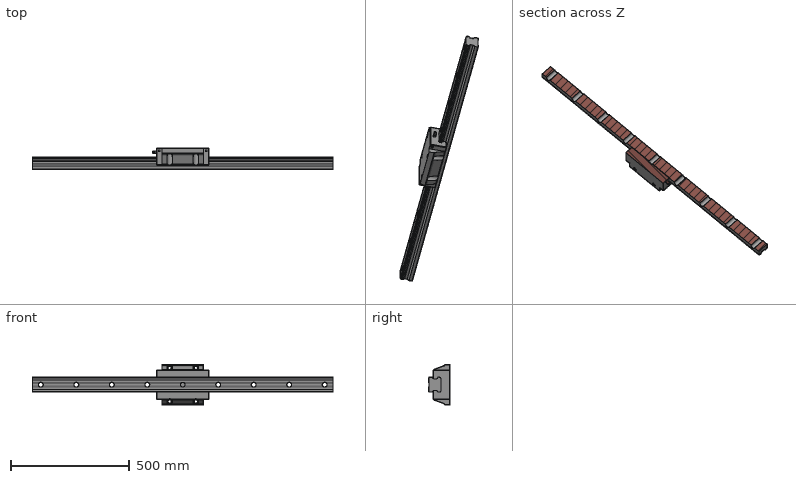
import cadquery as cq

rail_length = 1270.0
rail_half_width = 32.0
rail_height = 53.0
foot_side_height = 15.0
neck_half_width = 24.0
neck_bottom = 23.0
neck_top = 34.0
head_side_bottom = 41.0
head_side_top = 46.0
shoulder_half_width = 30.0
shoulder_height = 50.0
rail_top_half_width = 25.0
foot_chamfer = 3.0

relief_half_width = 20.0
relief_depth = 0.6
groove_outer_half_width = 9.5
groove_inner_half_width = 5.7
groove_depth = 1.0

rail_hole_count = 9
rail_hole_margin = 35.0
rail_hole_diameter = 19.0
rail_hole_pitch = (rail_length - 2 * rail_hole_margin) / (rail_hole_count - 1)

carriage_bottom = 19.0
carriage_top = 90.0
carriage_length = 221.0
block_length = 175.0
plate_length = (carriage_length - block_length) / 2
plate_half_width = 62.0
plate_chamfer = 3.0
flange_half_width = 85.0
flange_side_bottom = 69.0
flange_bevel_half_width = 81.0
flange_bevel_height = 66.0
flank_top = 61.0
flank_top_half_width = 79.0
flank_bottom = 23.0
block_foot_half_width = 60.0
flank_bottom_half_width = 65.0

bolt_spacing_x = 110.0
bolt_spacing_z = 142.0
bolt_hole_diameter = 14.0
bolt_head_diameter = 24.0
bolt_seat_height = 65.0

port_diameter = 8.0
port_depth = 6.0
port_height = 79.0

nipple_height = 72.0
stem_diameter = 11.0
stem_length = 13.0
spout_diameter = 10.0
spout_reach = 9.0
tip_diameter = 6.0
tip_reach = 14.0


def mirrored_profile(half_outline, length):
    """Extrude a YZ outline, given as (z, y) for +Z and mirrored to -Z, centred along X."""
    other_half = [(-z, y) for z, y in reversed(half_outline)]
    points = [(y, z) for z, y in half_outline + other_half]
    return cq.Workplane("YZ").polyline(points).close().extrude(length / 2, both=True)


def rail_blank(length):
    return mirrored_profile(
        [
            (rail_half_width - foot_chamfer, 0),
            (rail_half_width, foot_chamfer),
            (rail_half_width, foot_side_height),
            (neck_half_width, neck_bottom),
            (neck_half_width, neck_top),
            (rail_half_width, head_side_bottom),
            (rail_half_width, head_side_top),
            (shoulder_half_width, shoulder_height),
            (rail_top_half_width, rail_height),
        ],
        length,
    )


def cylinder_along_y(x, z, diameter, bottom, top):
    start = cq.Vector(x, bottom, z)
    return cq.Workplane(cq.Solid.makeCylinder(diameter / 2, top - bottom, start, cq.Vector(0, 1, 0)))


def make_rail():
    rail = rail_blank(rail_length)
    relief = mirrored_profile(
        [
            (relief_half_width, 0),
            (relief_half_width, relief_depth),
            (groove_outer_half_width, relief_depth),
            (groove_inner_half_width, groove_depth),
        ],
        rail_length,
    )
    rail = rail.cut(relief)
    for index in range(rail_hole_count):
        x = -rail_length / 2 + rail_hole_margin + index * rail_hole_pitch
        rail = rail.cut(cylinder_along_y(x, 0, rail_hole_diameter, 0, rail_height))
    return rail


def make_carriage():
    block = mirrored_profile(
        [
            (block_foot_half_width, carriage_bottom),
            (flank_bottom_half_width, flank_bottom),
            (flank_top_half_width, flank_top),
            (flange_bevel_half_width, flange_bevel_height),
            (flange_half_width, flange_side_bottom),
            (flange_half_width, carriage_top),
        ],
        block_length,
    )
    plates = mirrored_profile(
        [(plate_half_width, carriage_bottom), (plate_half_width, carriage_top)], carriage_length
    )
    plates = plates.edges().chamfer(plate_chamfer)
    carriage = block.union(plates)
    for x in (-bolt_spacing_x / 2, bolt_spacing_x / 2):
        for z in (-bolt_spacing_z / 2, bolt_spacing_z / 2):
            hole = cylinder_along_y(x, z, bolt_hole_diameter, carriage_bottom, carriage_top)
            head_clearance = cylinder_along_y(x, z, bolt_head_diameter, carriage_bottom, bolt_seat_height)
            carriage = carriage.cut(hole).cut(head_clearance)
    plate_center = (carriage_length - plate_length) / 2
    for x in (-plate_center, plate_center):
        for side in (-1, 1):
            start = cq.Vector(x, port_height, side * plate_half_width)
            port = cq.Solid.makeCylinder(port_diameter / 2, port_depth, start, cq.Vector(0, 0, -side))
            carriage = carriage.cut(cq.Workplane(port))
    return carriage.cut(rail_blank(carriage_length))


def make_nipple():
    stem_start = cq.Vector(-carriage_length / 2, nipple_height, 0)
    spout_x = -carriage_length / 2 - stem_length
    stem = cq.Solid.makeCylinder(stem_diameter / 2, stem_length, stem_start, cq.Vector(-1, 0, 0))
    spout_start = cq.Vector(spout_x, nipple_height, -stem_diameter / 2)
    spout = cq.Solid.makeCylinder(spout_diameter / 2, spout_reach + stem_diameter / 2, spout_start)
    tip = cq.Solid.makeCylinder(tip_diameter / 2, tip_reach, cq.Vector(spout_x, nipple_height, 0))
    return cq.Workplane(stem).union(cq.Workplane(spout)).union(cq.Workplane(tip))


rail = make_rail()
carriage = make_carriage()
nipple = make_nipple()

result = cq.Compound.makeCompound([rail.val(), carriage.val(), nipple.val()])